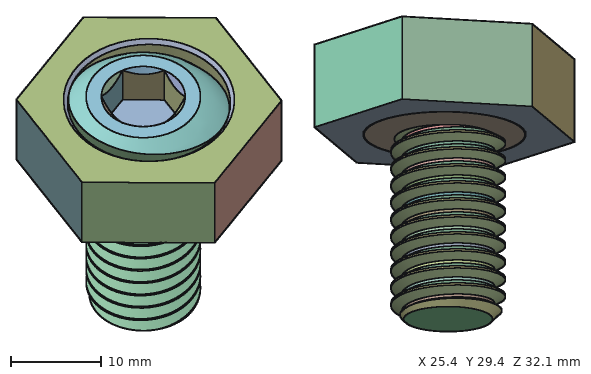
import cadquery as cq
import math

total_height = 32.13
axis_offset = 1.25

plate_corner_diameter = 29.35
plate_thickness = 9.55
plate_top = total_height - 1.67
plate_bottom = plate_top - plate_thickness

cam_radius = 8.9
bore_clearance = 0.1
bore_radius = cam_radius + bore_clearance
bore_chamfer = 0.45
dome_radius = 12.05
dome_flat_radius = 6.33
dome_center_z = total_height - math.sqrt(dome_radius**2 - dome_flat_radius**2)

socket_flats = 8.03
socket_depth = 4.7
socket_corner_radius = socket_flats / math.sqrt(3)
lead_in_angle = 45.0

thread_radius = 6.33
thread_pitch = 1.95
thread_depth = 1.2
thread_flank_angle = 30.0
thread_crest_width = thread_pitch / 8
thread_crest_z = 1.57
thread_overlap = 0.05
core_overrun = 3 * thread_pitch
root_radius = thread_radius - thread_depth
tip_radius = 4.9


def vertical_hexagon(corner_diameter, height):
    """Hexagonal prism standing on Z = 0 with corners along Y."""
    hexagon = cq.Workplane("XY").polygon(6, corner_diameter).extrude(height)
    return hexagon.rotate((0, 0, 0), (0, 0, 1), 90)


def make_plate():
    """Hexagonal plate with a through bore, chamfered at the top."""
    plate = vertical_hexagon(plate_corner_diameter, plate_thickness)
    plate = plate.faces(">Z").workplane().circle(bore_radius).cutThruAll()
    plate = plate.faces(">Z").edges("%CIRCLE").chamfer(bore_chamfer)
    return plate.translate((0, axis_offset, plate_bottom))


def make_head():
    """Eccentric cylinder under a flat-topped dome centred on the screw axis."""
    cam = (
        cq.Workplane("XY", origin=(0, axis_offset, plate_bottom))
        .circle(cam_radius)
        .extrude(total_height - plate_bottom)
    )
    dome = cq.Workplane("XY").sphere(dome_radius).translate((0, 0, dome_center_z))
    dome_skirt = cq.Workplane("XY").circle(dome_radius).extrude(dome_center_z)
    return cam.intersect(dome.union(dome_skirt))


def make_socket():
    """Cutter for the hexagonal socket and its conical lead-in."""
    hexagon = vertical_hexagon(2 * socket_corner_radius, socket_depth)
    hexagon = hexagon.translate((0, 0, total_height - socket_depth))
    cone_height = socket_corner_radius / math.tan(math.radians(lead_in_angle))
    cone = cq.Solid.makeCone(0, socket_corner_radius, cone_height)
    cone = cone.translate(cq.Vector(0, 0, total_height - cone_height))
    return hexagon.union(cq.Workplane(cone))


def make_thread_ridge():
    """Trapezoidal ridge swept along a helix, overrunning both shank ends."""
    start_z = thread_crest_z - 2 * thread_pitch
    turns = math.ceil((plate_bottom - start_z) / thread_pitch) + 1
    inner_radius = root_radius - thread_overlap
    half_crest = thread_crest_width / 2
    flank_rise = (thread_radius - inner_radius) * math.tan(math.radians(thread_flank_angle))
    half_base = half_crest + flank_rise
    helix = cq.Wire.makeHelix(thread_pitch, turns * thread_pitch, inner_radius)
    ridge = (
        cq.Workplane("XZ")
        .moveTo(inner_radius, -half_base)
        .lineTo(thread_radius, -half_crest)
        .lineTo(thread_radius, half_crest)
        .lineTo(inner_radius, half_base)
        .close()
        .sweep(cq.Workplane(helix), isFrenet=True)
    )
    return ridge.translate((0, 0, start_z))


def make_shank():
    """Threaded shank, trimmed to length and to the chamfered tip."""
    limit_radius = thread_radius + thread_depth
    limit = (
        cq.Workplane("XZ")
        .moveTo(0, 0)
        .lineTo(tip_radius, 0)
        .lineTo(limit_radius, limit_radius - tip_radius)
        .lineTo(limit_radius, plate_bottom)
        .lineTo(0, plate_bottom)
        .close()
        .revolve(360, (0, 0, 0), (0, 1, 0))
    )
    core = (
        cq.Workplane("XY", origin=(0, 0, -core_overrun))
        .circle(root_radius)
        .extrude(plate_bottom + 2 * core_overrun)
    )
    return core.union(make_thread_ridge()).intersect(limit)


def make_screw():
    """Eccentric-head screw as one solid."""
    return make_head().cut(make_socket()).union(make_shank())


plate = make_plate()
screw = make_screw()

result = cq.Compound.makeCompound([plate.val(), screw.solids().val()])